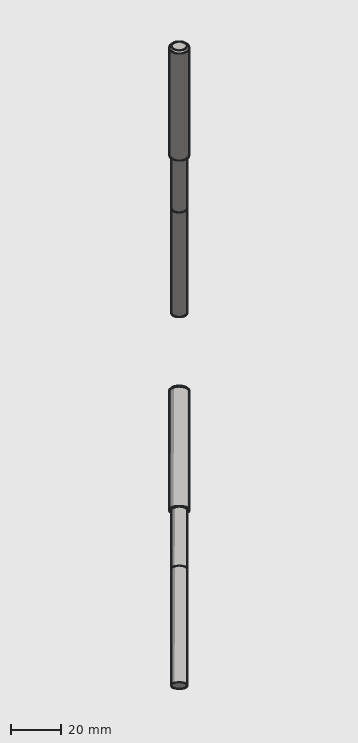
import cadquery as cq
import math

total_length = 131.2
shank_diameter = 8.0
shank_length = 53.1
cutter_diameter = 6.4
cutter_length = 52.2
point_angle = 140.0
chamfer_width = 0.9
chamfer_height = 0.9

shank_radius = shank_diameter / 2
cutter_radius = cutter_diameter / 2
point_height = cutter_radius / math.tan(math.radians(point_angle / 2))
neck_length = total_length - cutter_length - shank_length


def make_cutter():
    """Cylindrical cutting end with a conical point at the origin."""
    half_profile = (
        cq.Workplane("XZ")
        .moveTo(0, 0)
        .lineTo(cutter_radius, point_height)
        .lineTo(cutter_radius, cutter_length)
        .lineTo(0, cutter_length)
        .close()
    )
    return half_profile.revolve(360, (0, 0), (0, 1))


def make_holder():
    """Neck as thick as the cutter, stepping up to a shank with a chamfered end."""
    neck = cq.Workplane("XY").workplane(offset=cutter_length).circle(cutter_radius).extrude(neck_length)
    shank = (
        cq.Workplane("XY")
        .workplane(offset=cutter_length + neck_length)
        .circle(shank_radius)
        .extrude(shank_length)
        .faces(">Z")
        .chamfer(chamfer_height, chamfer_width)
    )
    return neck.union(shank)


cutter = make_cutter()
holder = make_holder()

result = cq.Compound.makeCompound([cutter.val(), holder.val()])